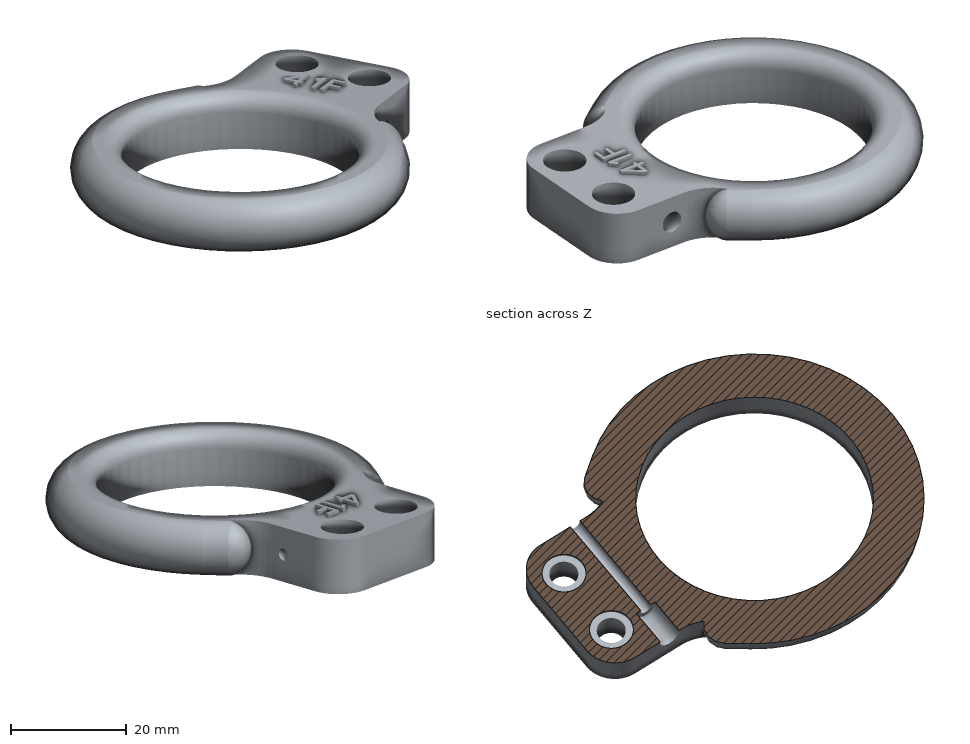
import cadquery as cq
import math

total_length = 70.9
height = 10.0
outer_diameter = 58.75
bore_diameter = 41.0
outer_radius = outer_diameter / 2
bore_radius = bore_diameter / 2
flat_radius = 25.6
bore_round = 3.0
rim_width = outer_radius - flat_radius
rim_end_angle = 37.0
rim_straight_length = 4.55
rim_overlap = 0.7

tab_half_width = 14.0
tab_end_y = total_length - outer_radius
tab_corner_radius = 6.0
neck_y = 25.6

screw_x = 7.0
screw_y = 35.5
screw_diameter = 5.0
screw_head_diameter = 7.5
screw_head_depth = 5.0

cross_y = 28.1
cross_diameter = 2.1
cross_wide_diameter = 4.0
cross_wide_depth = 7.1

stroke = 0.65
letter_height = 0.7
letter_base_y = 25.7
letter_top_y = 30.6
four_left_x = -5.25
four_stem_x = -2.55
four_right_x = -1.6
four_bar_height = 1.35
one_flag_x = -0.3
one_stem_x = 0.9
one_flag_drop = 1.3
f_stem_x = 2.7
f_right_x = 5.1
f_bar_height = 2.35

neck_radius = (tab_half_width**2 + neck_y**2 - flat_radius**2) / (2 * (flat_radius - tab_half_width))
neck_centre_x = tab_half_width + neck_radius
neck_angle = math.degrees(math.atan2(neck_y, neck_centre_x))


def polar(radius, angle):
    """Point in plan at a radius and an angle in degrees from +X."""
    return (radius * math.cos(math.radians(angle)), radius * math.sin(math.radians(angle)))


def mirrored(point):
    return (-point[0], point[1])


def make_plate():
    """Flat ring body and tab, joined by concave neck arcs."""
    neck_top = (tab_half_width, neck_y)
    neck_end = polar(flat_radius, neck_angle)
    middle_angle = 180 + neck_angle / 2
    middle_offset = polar(neck_radius, middle_angle)
    neck_middle = (neck_centre_x + middle_offset[0], neck_y + middle_offset[1])
    plate = (
        cq.Workplane("XY")
        .moveTo(*neck_end)
        .threePointArc(neck_middle, neck_top)
        .lineTo(tab_half_width, tab_end_y)
        .lineTo(-tab_half_width, tab_end_y)
        .lineTo(*mirrored(neck_top))
        .threePointArc(mirrored(neck_middle), mirrored(neck_end))
        .threePointArc((0, -flat_radius), neck_end)
        .close()
        .extrude(height)
    )
    return plate.edges("|Z and >Y").fillet(tab_corner_radius)


def rim_section(inner_radius, overlap=0.0):
    """Rounded rim section in the XZ plane, bulging outward, with a square overlap inward."""
    section = (
        cq.Workplane("XZ")
        .moveTo(inner_radius, 0)
        .threePointArc((inner_radius + rim_width, height / 2), (inner_radius, height))
    )
    if overlap > 0:
        section = section.lineTo(inner_radius - overlap, height).lineTo(inner_radius - overlap, 0)
    return section.close()


def make_rim():
    """Rounded rim around the ring, running straight at each end and closed by a dome."""
    sweep = 180 + 2 * rim_end_angle
    rim = rim_section(flat_radius).revolve(sweep, (0, 0, 0), (0, 1, 0))
    rim = rim.rotate((0, 0, 0), (0, 0, 1), 180 - rim_end_angle)

    straight = rim_section(flat_radius, rim_overlap).extrude(-rim_straight_length)
    dome = rim_section(0).revolve(360, (0, 0, 0), (0, 1, 0))
    end = straight.union(dome.translate((flat_radius, rim_straight_length, 0)))
    end = end.rotate((0, 0, 0), (0, 0, 1), rim_end_angle)
    return rim.union(end).union(end.mirror("YZ"))


def cut_bore(body):
    """Central bore with a rounded top edge."""
    round_x = bore_radius + bore_round
    round_z = height - bore_round
    arc_reach = bore_round * math.sqrt(0.5)
    cutter = (
        cq.Workplane("XZ")
        .lineTo(bore_radius, 0)
        .lineTo(bore_radius, round_z)
        .threePointArc((round_x - arc_reach, round_z + arc_reach), (round_x, height))
        .lineTo(0, height)
        .close()
        .revolve(360, (0, 0, 0), (0, 1, 0))
    )
    return body.cut(cutter)


def cut_tab_holes(body):
    """Two counterbored screw holes and one counterbored cross hole."""
    body = (
        body.faces(">Z")
        .workplane(origin=(0, 0, height))
        .pushPoints([(-screw_x, screw_y), (screw_x, screw_y)])
        .cboreHole(screw_diameter, screw_head_diameter, screw_head_depth)
    )
    side = cq.Workplane("YZ", origin=(-tab_half_width, 0, 0)).center(cross_y, height / 2)
    body = body.cut(side.circle(cross_diameter / 2).extrude(2 * tab_half_width))
    return body.cut(side.circle(cross_wide_diameter / 2).extrude(cross_wide_depth))


def bar(start, end):
    """One straight raised stroke between two points."""
    dx = end[0] - start[0]
    dy = end[1] - start[1]
    return (
        cq.Workplane("XY")
        .box(math.hypot(dx, dy), stroke, 2 * letter_height)
        .rotate((0, 0, 0), (0, 0, 1), math.degrees(math.atan2(dy, dx)))
        .translate(((start[0] + end[0]) / 2, (start[1] + end[1]) / 2, height))
    )


def add_characters(body):
    """Raised "41F" built from straight strokes."""
    low = letter_base_y
    high = letter_top_y
    top_bar_y = high - stroke / 2
    four_bar_y = low + four_bar_height
    flag_y = high - one_flag_drop
    f_bar_y = low + f_bar_height
    strokes = [
        ((four_stem_x, low), (four_stem_x, high)),
        ((four_left_x, four_bar_y), (four_right_x, four_bar_y)),
        ((four_left_x, four_bar_y), (four_stem_x, top_bar_y)),
        ((one_stem_x, low), (one_stem_x, high)),
        ((one_flag_x, flag_y), (one_stem_x, top_bar_y)),
        ((f_stem_x, low), (f_stem_x, high)),
        ((f_stem_x, top_bar_y), (f_right_x, top_bar_y)),
        ((f_stem_x, f_bar_y), (f_right_x, f_bar_y)),
    ]
    for start, end in strokes:
        body = body.union(bar(start, end))
    return body


ring = cut_bore(make_plate().union(make_rim()))
result = add_characters(cut_tab_holes(ring))